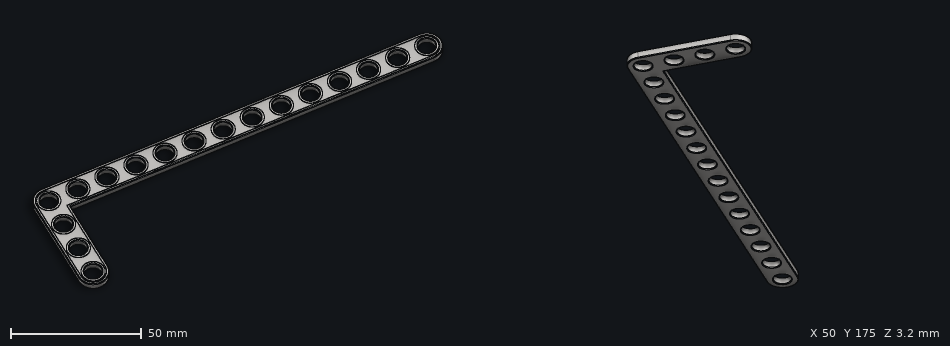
import cadquery as cq

length = 175.0
arm_reach = 50.0
thickness = 3.2

long_arm_holes = 14
short_arm_holes = 4
arm_width = length / long_arm_holes
end_radius = arm_width / 2
hole_diameter = 7.0
ring_diameter = 9.3

edge_chamfer = 0.32
rim_width = 1.1
recess_depth = 0.21

long_span = length - arm_width
short_span = arm_reach - arm_width

long_pitch = long_span / (long_arm_holes - 1)
short_pitch = short_span / (short_arm_holes - 1)
hole_centres = [(0, i * long_pitch) for i in range(long_arm_holes)]
hole_centres += [(i * short_pitch, 0) for i in range(1, short_arm_holes)]


def angle_plate(radius, height):
    """L-shaped plate whose outline lies at `radius` from the two arm centrelines."""
    return (
        cq.Workplane("XY")
        .moveTo(-radius, 0)
        .lineTo(-radius, long_span)
        .threePointArc((0, long_span + radius), (radius, long_span))
        .lineTo(radius, radius)
        .lineTo(short_span, radius)
        .threePointArc((short_span + radius, 0), (short_span, -radius))
        .lineTo(0, -radius)
        .radiusArc((-radius, 0), radius)
        .close()
        .extrude(height)
    )


def discs(diameter, height):
    """Cylinder of the given diameter at every hole centre."""
    return cq.Workplane("XY").pushPoints(hole_centres).circle(diameter / 2).extrude(height)


def chamfered_plate():
    """Drilled plate with the outline and hole edges chamfered on both faces."""
    drilled = angle_plate(end_radius, thickness).cut(discs(hole_diameter, thickness))
    return drilled.faces(">Z or <Z").edges().chamfer(edge_chamfer)


def floor_recess():
    """Shallow pocket in the top face that leaves a rim and a raised ring round each hole."""
    pocket = angle_plate(end_radius - rim_width, recess_depth)
    pocket = pocket.cut(discs(ring_diameter, recess_depth))
    return pocket.translate((0, 0, thickness - recess_depth))


result = chamfered_plate().cut(floor_recess())